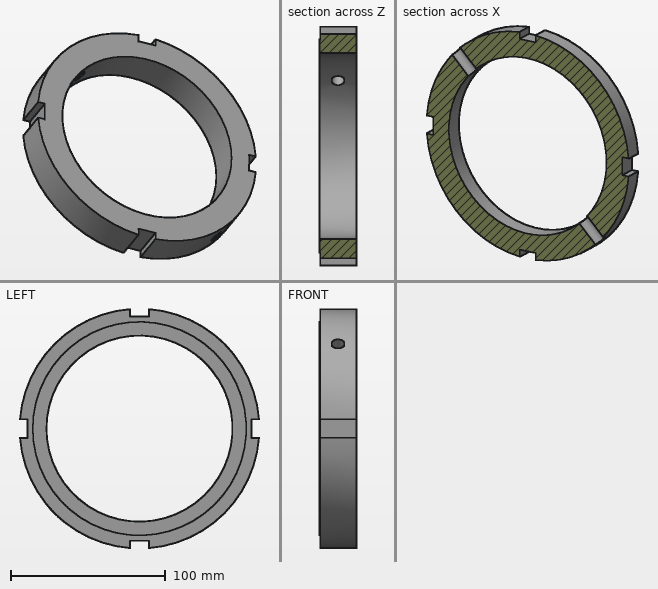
import cadquery as cq
import math

overall_size = 154.5
total_width = 24.0
face_height = 0.5
face_diameter = 138.0
bore_diameter = 120.0
slot_width = 12.0
slot_floor_radius = 72.5
slot_count = 4
hole_diameter = 8.3
hole_angle = 45.0

rim_radius = math.hypot(overall_size / 2, slot_width / 2)
body_width = total_width - face_height


def make_ring():
    """Plain ring with a raised contact face around the bore."""
    body = cq.Workplane("YZ").workplane(offset=face_height).circle(rim_radius).extrude(body_width)
    face = cq.Workplane("YZ").circle(face_diameter / 2).extrude(total_width)
    bore = cq.Workplane("YZ").circle(bore_diameter / 2).extrude(total_width)
    return body.union(face).cut(bore)


def make_slot(angle):
    """Cutter for one spanner slot, running the full width of the rim."""
    slot_length = rim_radius
    cutter = cq.Workplane("XY").box(total_width, slot_width, slot_length, centered=(False, True, False))
    return cutter.translate((0, 0, slot_floor_radius)).rotate((0, 0, 0), (1, 0, 0), angle)


def make_cross_hole():
    """Cutter for the two opposite radial holes at mid-width."""
    cutter = cq.Workplane("XY").circle(hole_diameter / 2).extrude(rim_radius * 2, both=True)
    return cutter.rotate((0, 0, 0), (1, 0, 0), hole_angle).translate((total_width / 2, 0, 0))


result = make_ring()
for index in range(slot_count):
    result = result.cut(make_slot(index * 360 / slot_count))
result = result.cut(make_cross_hole())